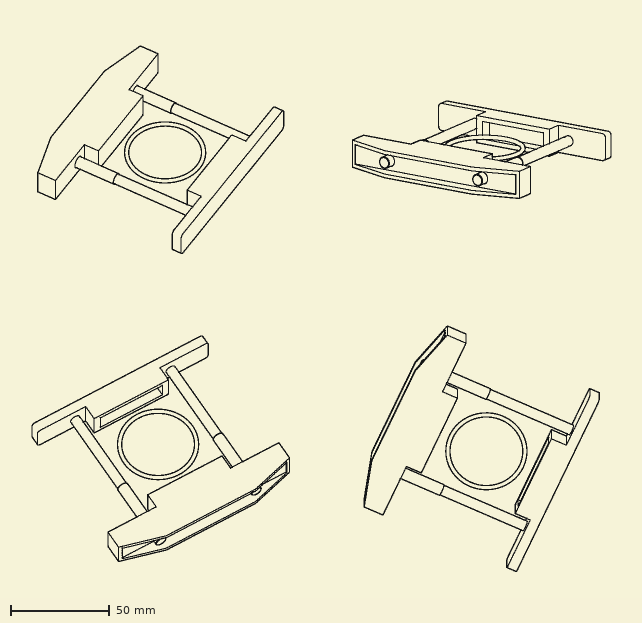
import cadquery as cq

FRAME_LENGTH_X = 92.0
FRAME_WIDTH_Y = 102.0
FRAME_HEIGHT_Z = 14.5

JAW_WIDTH = 44.4
JAW_DEPTH = 8.4

CLAMP_DEPTH = 17.3
CLAMP_FLAT_WIDTH = 53.2
CLAMP_TAPER_DEPTH = 6.8
CLAMP_WALL = 2.0
CLAMP_POCKET_DEPTH = 6.8

PLATE_THICKNESS = 5.3
PLATE_CORNER_RADIUS = 2.0
JAW_POCKET_WIDTH = 37.0
JAW_POCKET_HEIGHT = 9.4
JAW_POCKET_DEPTH = 6.4

ROD_SPACING = 56.9
ROD_START_X = 2.1
ROD_STEP_X = 40.0
ROD_THICK_DIAMETER = 6.0
ROD_THIN_DIAMETER = 5.4
ROD_HOLE_DIAMETER = 6.4
ROD_CHAMFER = (ROD_THICK_DIAMETER - ROD_THIN_DIAMETER) / 2

RING_OUTER_DIAMETER = 41.5
RING_WIRE_DIAMETER = 2.2

PLATE_FRONT_X = FRAME_LENGTH_X - PLATE_THICKNESS
JAW_FRONT_X = PLATE_FRONT_X - JAW_DEPTH
CLAMP_POCKET_HEIGHT = FRAME_HEIGHT_Z - 2 * CLAMP_WALL
RING_CENTER_X = (CLAMP_DEPTH + JAW_DEPTH + JAW_FRONT_X) / 2
ROD_POSITIONS_Y = (-ROD_SPACING / 2, ROD_SPACING / 2)


def block(start_x, length, width, height):
    """Box centred on the X axis that starts at start_x."""
    base = cq.Workplane("XY", origin=(start_x, 0, 0))
    return base.box(length, width, height, centered=(False, True, True))


def cylinder(start_x, end_x, center_y, diameter):
    """Cylinder along X between two X positions."""
    return cq.Workplane("YZ", origin=(start_x, center_y, 0)).circle(diameter / 2).extrude(end_x - start_x)


def make_hollow_clamp():
    """Tapered block with a jaw pad, an open pocket on its outer side and two rod holes."""
    half_flat = CLAMP_FLAT_WIDTH / 2
    half_width = FRAME_WIDTH_Y / 2
    outline = [
        (0, -half_flat),
        (CLAMP_TAPER_DEPTH, -half_width),
        (CLAMP_DEPTH, -half_width),
        (CLAMP_DEPTH, half_width),
        (CLAMP_TAPER_DEPTH, half_width),
        (0, half_flat),
    ]
    body = cq.Workplane("XY").polyline(outline).close().extrude(FRAME_HEIGHT_Z / 2, both=True)
    body = body.union(block(CLAMP_DEPTH, JAW_DEPTH, JAW_WIDTH, FRAME_HEIGHT_Z))
    body = body.cut(block(0, CLAMP_POCKET_DEPTH, FRAME_WIDTH_Y - 2 * CLAMP_WALL, CLAMP_POCKET_HEIGHT))
    for center_y in ROD_POSITIONS_Y:
        body = body.cut(cylinder(0, CLAMP_DEPTH, center_y, ROD_HOLE_DIAMETER))
    return body


def make_flat_clamp():
    """Plate with rounded corners and a jaw pad that has a rectangular pocket."""
    plate = block(PLATE_FRONT_X, PLATE_THICKNESS, FRAME_WIDTH_Y, FRAME_HEIGHT_Z)
    plate = plate.edges("|X").fillet(PLATE_CORNER_RADIUS)
    jaw = block(JAW_FRONT_X, JAW_DEPTH, JAW_WIDTH, FRAME_HEIGHT_Z)
    pocket = block(JAW_FRONT_X, JAW_POCKET_DEPTH, JAW_POCKET_WIDTH, JAW_POCKET_HEIGHT)
    return plate.union(jaw).cut(pocket)


def make_rod(center_y):
    """Rod with a chamfered thick end, whose thin end butts against the flat clamp's plate."""
    thick = cylinder(ROD_START_X, ROD_STEP_X, center_y, ROD_THICK_DIAMETER)
    thick = thick.faces("<X").chamfer(ROD_CHAMFER)
    return thick.union(cylinder(ROD_STEP_X, PLATE_FRONT_X, center_y, ROD_THIN_DIAMETER))


def make_ring():
    """Round-section ring lying flat between the jaws."""
    mean_radius = (RING_OUTER_DIAMETER - RING_WIRE_DIAMETER) / 2
    ring = cq.Solid.makeTorus(mean_radius, RING_WIRE_DIAMETER / 2)
    return cq.Workplane(ring).translate((RING_CENTER_X, 0, 0))


hollow_clamp = make_hollow_clamp()
flat_clamp = make_flat_clamp()
rods = [make_rod(center_y) for center_y in ROD_POSITIONS_Y]
ring = make_ring()

result = cq.Compound.makeCompound(
    [hollow_clamp.val(), flat_clamp.val(), *[rod.val() for rod in rods], ring.val()]
)